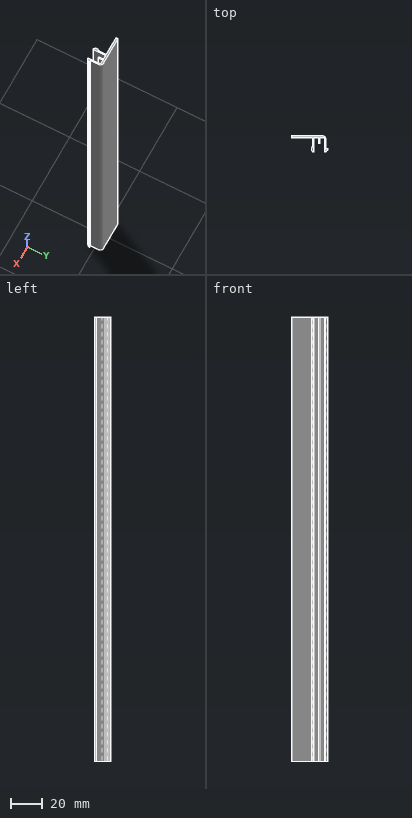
import cadquery as cq

length = 280.0
width = 22.7
depth = 10.5

flange_thickness = 1.5
leg_thickness = 0.8
corner_radius = 2.2
root_fillet = 0.5

inner_leg_right = 14.0
inner_leg_left = inner_leg_right - leg_thickness
foot_projection = 0.8
foot_left = inner_leg_left - foot_projection
foot_top = -6.5
foot_ramp = 1.5
foot_chamfer = 1.0

rib_left = 16.8
rib_thickness = 0.8
rib_tip = -4.8

barb_projection = 1.0
outer_leg_right = width - barb_projection
outer_leg_left = outer_leg_right - leg_thickness
barb_top = -8.0
barb_flat = 0.8
tip_width = 0.5


def make_flange():
    """Flat plate reaching from the free edge to the outer leg."""
    plate = cq.Workplane("XY").box(outer_leg_right, flange_thickness, length, centered=False)
    return plate.translate((0, -flange_thickness, 0))


def make_inner_leg():
    """Leg with a rounded root and a foot chamfered at its tip."""
    return (
        cq.Workplane("XY")
        .moveTo(inner_leg_right, 0)
        .lineTo(inner_leg_right, -depth)
        .lineTo(foot_left + foot_chamfer, -depth)
        .lineTo(foot_left, -depth + foot_chamfer)
        .lineTo(foot_left, foot_top - foot_ramp)
        .lineTo(inner_leg_left, foot_top)
        .lineTo(inner_leg_left, -flange_thickness - root_fillet)
        .radiusArc((inner_leg_left - root_fillet, -flange_thickness), -root_fillet)
        .lineTo(inner_leg_left - root_fillet, 0)
        .close()
        .extrude(length)
    )


def make_rib():
    """Plain short rib under the flange."""
    rib = cq.Workplane("XY").box(rib_thickness, -rib_tip, length, centered=False)
    return rib.translate((rib_left, rib_tip, 0))


def make_outer_leg():
    """Leg with a rounded root and a barb tapering to a narrow tip."""
    return (
        cq.Workplane("XY")
        .moveTo(outer_leg_right, 0)
        .lineTo(outer_leg_right, barb_top)
        .lineTo(width, barb_top)
        .lineTo(width, barb_top - barb_flat)
        .lineTo(outer_leg_left + tip_width, -depth)
        .lineTo(outer_leg_left, -depth)
        .lineTo(outer_leg_left, -flange_thickness - root_fillet)
        .radiusArc((outer_leg_left - root_fillet, -flange_thickness), -root_fillet)
        .lineTo(outer_leg_left - root_fillet, 0)
        .close()
        .extrude(length)
    )


profile = make_flange().union(make_inner_leg()).union(make_rib()).union(make_outer_leg()).clean()

outside_corner = cq.selectors.NearestToPointSelector((outer_leg_right, 0, length / 2))
result = profile.edges("|Z").edges(outside_corner).fillet(corner_radius)